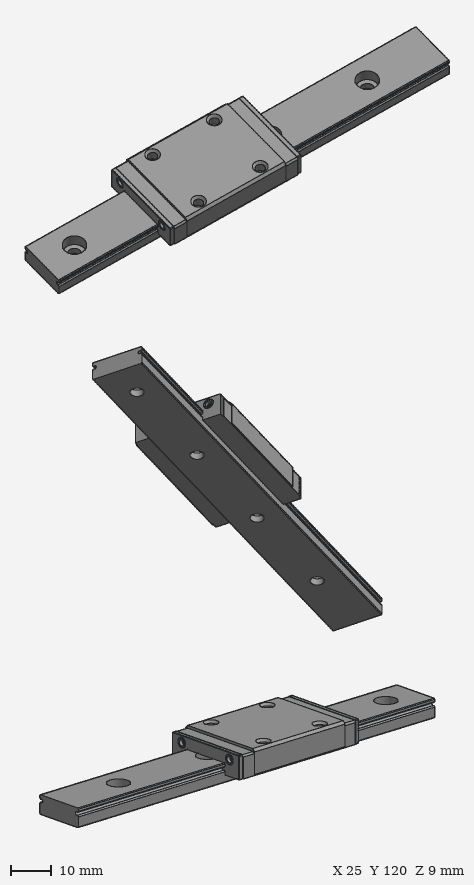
import cadquery as cq
import math

RAIL_LENGTH = 120.0
RAIL_WIDTH = 14.0
RAIL_HEIGHT = 5.2
RAIL_EDGE_CHAMFER = 0.2
GROOVE_DEPTH = 1.1
GROOVE_CENTER_Z = 3.6
GROOVE_MOUTH = 1.5
GROOVE_LIP = 0.7

RAIL_HOLE_COUNT = 4
RAIL_HOLE_PITCH = 30.0
FIRST_HOLE_FROM_FRONT = 10.0
RAIL_HOLE_DIAMETER = 3.5
RAIL_COUNTERBORE_DIAMETER = 6.0
RAIL_COUNTERBORE_DEPTH = 3.2

CARRIAGE_CENTER_Y = -9.5
CARRIAGE_TOP = 9.0
CARRIAGE_BOTTOM = 2.0
BLOCK_WIDTH = 25.0
BLOCK_LENGTH = 30.5
BLOCK_CHAMFER = 0.7
BLOCK_BOTTOM_CHAMFER = 0.4
CAP_WIDTH = 24.7
CAP_LENGTH = 3.7
CAP_TOP = 8.3
CAP_CHAMFER = 0.5
SEAL_WIDTH = 24.2
SEAL_LENGTH = 1.2
SEAL_TOP = 8.4
SEAL_CHAMFER = 0.2
SEAL_FACE_CHAMFER = 0.1

MOUNT_PITCH = 19.0
MOUNT_DIAMETER = 2.5
MOUNT_MOUTH_DIAMETER = 3.8
MOUNT_DEPTH = 3.0
DRILL_TIP_ANGLE = 118.0

SCREW_SPACING = 17.3
SCREW_Z = 6.5
SCREW_RECESS_DIAMETER = 2.8
SCREW_HEAD_DIAMETER = 2.5
SCREW_RECESS_DEPTH = 0.6
SCREW_SOCKET_DIAMETER = 1.7
SCREW_SOCKET_DEPTH = 1.0
SCREW_BORE_DIAMETER = 1.2
SCREW_BORE_DEPTH = 1.5


def ball_groove(side):
    """Cutter for one groove; side is -1 for the -X flank of the rail, 1 for the +X flank."""
    flank = side * RAIL_WIDTH / 2
    lip = flank - side * (GROOVE_MOUTH - GROOVE_LIP) / 2
    floor = flank - side * GROOVE_DEPTH
    return (
        cq.Workplane("XZ")
        .moveTo(flank, GROOVE_CENTER_Z - GROOVE_MOUTH / 2)
        .lineTo(lip, GROOVE_CENTER_Z - GROOVE_LIP / 2)
        .threePointArc((floor, GROOVE_CENTER_Z), (lip, GROOVE_CENTER_Z + GROOVE_LIP / 2))
        .lineTo(flank, GROOVE_CENTER_Z + GROOVE_MOUTH / 2)
        .close()
        .extrude(RAIL_LENGTH / 2, both=True)
    )


def rail_bar():
    """Rail without its holes: chamfered bar with a round groove along each flank."""
    bar = cq.Workplane("XY").box(RAIL_WIDTH, RAIL_LENGTH, RAIL_HEIGHT, centered=(True, True, False))
    bar = bar.edges("|Y").chamfer(RAIL_EDGE_CHAMFER)
    return bar.cut(ball_groove(-1)).cut(ball_groove(1))


def make_rail():
    """Rail with its row of counterbored mounting holes."""
    first_y = FIRST_HOLE_FROM_FRONT - RAIL_LENGTH / 2
    hole_points = [(0, first_y + i * RAIL_HOLE_PITCH) for i in range(RAIL_HOLE_COUNT)]
    return (
        rail_bar()
        .faces(">Z")
        .workplane(origin=(0, 0, RAIL_HEIGHT))
        .pushPoints(hole_points)
        .cboreHole(RAIL_HOLE_DIAMETER, RAIL_COUNTERBORE_DIAMETER, RAIL_COUNTERBORE_DEPTH)
    )


def carriage_layer(width, length, bottom, top, chamfer):
    """One box of the carriage, centred along Y, with chamfered long top edges."""
    layer = cq.Workplane("XY").box(width, length, top - bottom, centered=(True, True, False))
    layer = layer.faces(">Z").edges("|Y").chamfer(chamfer)
    return layer.translate((0, CARRIAGE_CENTER_Y, bottom))


def mount_hole():
    """Cutter for one threaded hole: countersunk mouth, straight bore and drill tip."""
    bore = MOUNT_DIAMETER / 2
    mouth = MOUNT_MOUTH_DIAMETER / 2
    tip = bore / math.tan(math.radians(DRILL_TIP_ANGLE / 2))
    half_section = [
        (0, 0),
        (mouth, 0),
        (bore, bore - mouth),
        (bore, -MOUNT_DEPTH),
        (0, -MOUNT_DEPTH - tip),
    ]
    return (
        cq.Workplane("XZ")
        .polyline(half_section)
        .close()
        .revolve(360, (0, 0, 0), (0, 1, 0))
    )


def screw_cutter(end):
    """Cutter that outlines a flush screw head and its stepped round socket; end is -1 for -Y, 1 for +Y."""
    gap = (
        cq.Workplane("XZ")
        .circle(SCREW_RECESS_DIAMETER / 2)
        .circle(SCREW_HEAD_DIAMETER / 2)
        .extrude(end * SCREW_RECESS_DEPTH)
    )
    socket = cq.Workplane("XZ").circle(SCREW_SOCKET_DIAMETER / 2).extrude(end * SCREW_SOCKET_DEPTH)
    bore = cq.Workplane("XZ").circle(SCREW_BORE_DIAMETER / 2).extrude(end * SCREW_BORE_DEPTH)
    return gap.union(socket).union(bore)


def make_carriage():
    """Block, end caps and seals as one solid, straddling the rail."""
    caps_length = BLOCK_LENGTH + 2 * CAP_LENGTH
    carriage_length = caps_length + 2 * SEAL_LENGTH

    carriage = carriage_layer(BLOCK_WIDTH, BLOCK_LENGTH, CARRIAGE_BOTTOM, CARRIAGE_TOP, BLOCK_CHAMFER)
    carriage = carriage.faces("<Z").edges("|Y").chamfer(BLOCK_BOTTOM_CHAMFER)
    caps = carriage_layer(CAP_WIDTH, caps_length, CARRIAGE_BOTTOM, CAP_TOP, CAP_CHAMFER)
    seals = carriage_layer(SEAL_WIDTH, carriage_length, CARRIAGE_BOTTOM, SEAL_TOP, SEAL_CHAMFER)
    between_seals = cq.Workplane("XY", origin=(0, CARRIAGE_CENTER_Y, CARRIAGE_TOP / 2)).box(
        BLOCK_WIDTH, caps_length, CARRIAGE_TOP
    )
    seals = seals.faces("<Y or >Y").edges("not <Z").chamfer(SEAL_FACE_CHAMFER)
    carriage = carriage.union(caps).union(seals.cut(between_seals)).cut(rail_bar())

    for x in (-MOUNT_PITCH / 2, MOUNT_PITCH / 2):
        for y in (-MOUNT_PITCH / 2, MOUNT_PITCH / 2):
            carriage = carriage.cut(mount_hole().translate((x, CARRIAGE_CENTER_Y + y, CARRIAGE_TOP)))

    for end in (-1, 1):
        face_y = CARRIAGE_CENTER_Y + end * carriage_length / 2
        for x in (-SCREW_SPACING / 2, SCREW_SPACING / 2):
            carriage = carriage.cut(screw_cutter(end).translate((x, face_y, SCREW_Z)))
    return carriage


rail = make_rail()
carriage = make_carriage()

result = cq.Compound.makeCompound([rail.solids().val(), carriage.solids().val()])